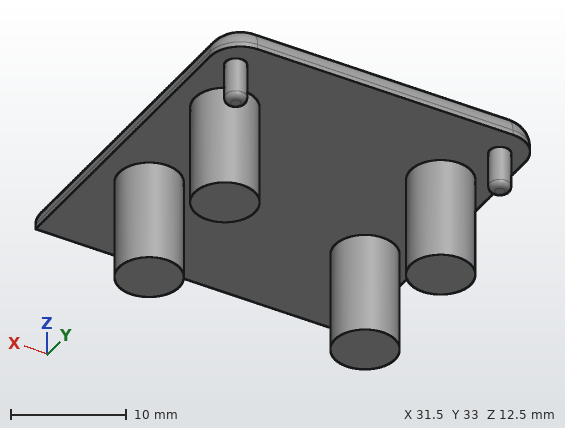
import cadquery as cq

plate_width = 31.5
plate_length = 33.0
edge_round = 2.0
rim_height = 0.5
plate_thickness = rim_height + edge_round
corner_radius = 3.0

post_diameter = 6.0
post_length = 10.0
post_x = 10.8
post_front_y = -5.5
post_spacing_y = 13.0

pin_diameter = 2.0
pin_length = 4.0
pin_tip_round = 0.55
pin_x = 13.2
pin_y = 13.5


def make_plate():
    """Plate with two rounded rear corners and a rounded upper edge."""
    plate = cq.Workplane("XY").box(
        plate_width, plate_length, plate_thickness, centered=(True, True, False)
    )
    plate = plate.edges("|Z and >Y").fillet(corner_radius)
    return plate.faces(">Z").edges().fillet(edge_round)


def make_pegs(centers, diameter, length):
    """Round pegs hanging from the underside of the plate."""
    return cq.Workplane("XY").pushPoints(centers).circle(diameter / 2).extrude(-length)


post_rows = (post_front_y, post_front_y + post_spacing_y)
post_centers = [(side * post_x, y) for side in (-1, 1) for y in post_rows]
posts = make_pegs(post_centers, post_diameter, post_length)

pin_centers = [(side * pin_x, pin_y) for side in (-1, 1)]
pins = make_pegs(pin_centers, pin_diameter, pin_length)
pins = pins.faces("<Z").edges().fillet(pin_tip_round)

result = make_plate().union(posts).union(pins)